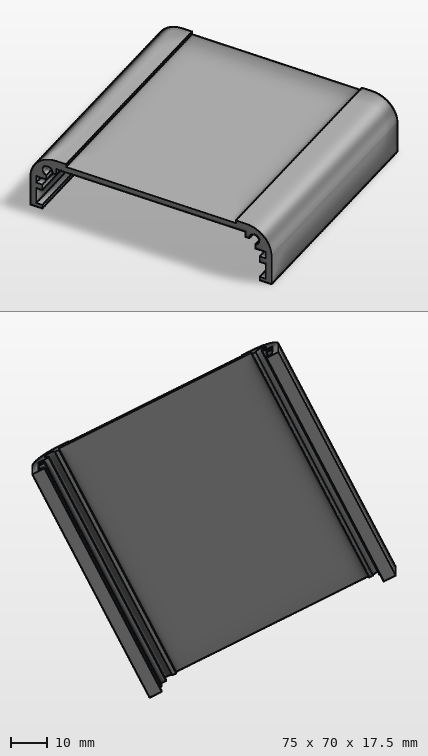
import cadquery as cq
import math

WIDTH = 75.0
LENGTH = 70.0
HEIGHT = 17.5

WALL = 1.85
CORNER_RUN = 8.0
CORNER_DROP = 7.4
RECESS_DEPTH = 0.9
RIM_WIDTH = 11.1

LIP_HEIGHT = 1.2
RIB_BOTTOM = 6.2
RIB_THICKNESS = 1.85
RIB_REACH = 3.7
SHELF_BOTTOM = 10.2
SHELF_REACH = 5.0

CHANNEL_RADIUS = 1.55
CHANNEL_INSET = 5.35
CHANNEL_HEIGHT = 13.2
LUG_THICKNESS = 1.2
LUG_BOTTOM = 13.0

OUTER = -WIDTH / 2
INNER = OUTER + WALL
RIB_TIP = OUTER + RIB_REACH
SHELF_TIP = OUTER + SHELF_REACH
CHANNEL_X = OUTER + CHANNEL_INSET
LUG_INNER = CHANNEL_X + CHANNEL_RADIUS
LUG_OUTER = LUG_INNER + LUG_THICKNESS
RIM_EDGE = OUTER + RIM_WIDTH
PLATE_TOP = HEIGHT - RECESS_DEPTH
PLATE_BOTTOM = PLATE_TOP - WALL
RIB_TOP = RIB_BOTTOM + RIB_THICKNESS


def corner_midpoint():
    """Middle of the corner arc, which is tangent to the top face."""
    radius = (CORNER_RUN**2 + CORNER_DROP**2) / (2 * CORNER_DROP)
    half_sweep = math.atan2(CORNER_DROP, CORNER_RUN)
    x = OUTER + CORNER_RUN - radius * math.sin(half_sweep)
    z = HEIGHT - radius * (1 - math.cos(half_sweep))
    return x, z


def channel_start():
    """Point where the screw channel meets the tip of the shelf."""
    across = SHELF_TIP - CHANNEL_X
    return SHELF_TIP, CHANNEL_HEIGHT - math.sqrt(CHANNEL_RADIUS**2 - across**2)


def channel_middle():
    """Point on the upper outer side of the screw channel."""
    offset = CHANNEL_RADIUS * math.sqrt(0.5)
    return CHANNEL_X - offset, CHANNEL_HEIGHT + offset


def half_profile():
    """Closed section of the half on the -X side, in the XZ plane."""
    return (
        cq.Workplane("XZ")
        .moveTo(0, PLATE_TOP)
        .lineTo(RIM_EDGE, PLATE_TOP)
        .lineTo(RIM_EDGE, HEIGHT)
        .lineTo(OUTER + CORNER_RUN, HEIGHT)
        .threePointArc(corner_midpoint(), (OUTER, HEIGHT - CORNER_DROP))
        .lineTo(OUTER, 0)
        .lineTo(RIB_TIP, 0)
        .lineTo(RIB_TIP, LIP_HEIGHT)
        .lineTo(INNER, LIP_HEIGHT)
        .lineTo(INNER, RIB_BOTTOM)
        .lineTo(RIB_TIP, RIB_BOTTOM)
        .lineTo(RIB_TIP, RIB_TOP)
        .lineTo(INNER, RIB_TOP)
        .lineTo(INNER, SHELF_BOTTOM)
        .lineTo(SHELF_TIP, SHELF_BOTTOM)
        .lineTo(*channel_start())
        .threePointArc(channel_middle(), (LUG_INNER, CHANNEL_HEIGHT))
        .lineTo(LUG_INNER, LUG_BOTTOM)
        .lineTo(LUG_OUTER, LUG_BOTTOM)
        .lineTo(LUG_OUTER, PLATE_BOTTOM)
        .lineTo(0, PLATE_BOTTOM)
        .close()
    )


half = half_profile().extrude(LENGTH / 2, both=True)
result = half.union(half.mirror("YZ"))